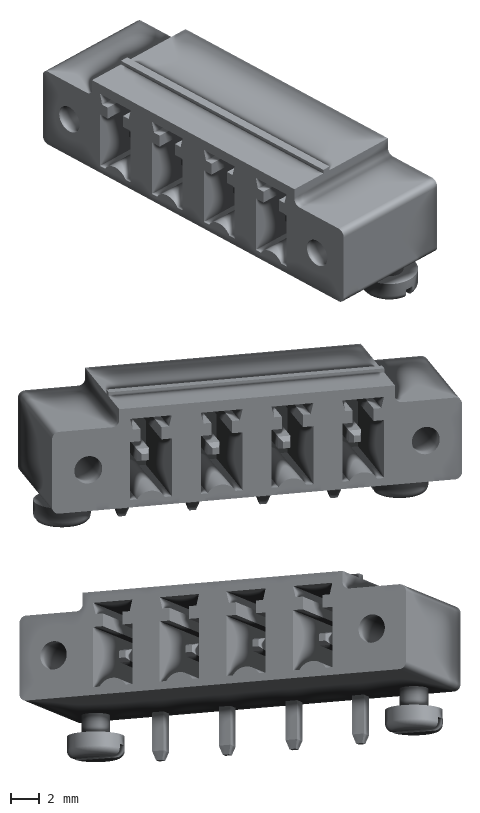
import cadquery as cq


LENGTH = 29.44
DEPTH = 9.2
FLANGE_HEIGHT = 6.0
BODY_HEIGHT = 7.28
BODY_LENGTH = 19.8
EDGE_RADIUS = 0.5
FRONT_Y = -DEPTH / 2
BACK_Y = DEPTH / 2

RIB_RISE = 0.3
RIB_TOP = BODY_HEIGHT + RIB_RISE
RIB_WIDTH = 0.62
RIB_SETBACK = 2.84

CONTACT_COUNT = 4
PITCH = 5.08
CONTACT_XS = [(i - (CONTACT_COUNT - 1) / 2) * PITCH for i in range(CONTACT_COUNT)]
PIN_SIZE = 0.88
PIN_TIP_SIZE = 0.48
PIN_TAPER = 0.62
PIN_BOTTOM = -3.37
AXIS_HEIGHT = 3.03
SOLDER_PIN_Y = BACK_Y - 1.14
CONTACT_SETBACK = 1.6

POCKET_DEPTH = 7.0
POCKET_HALF_WIDTH = 1.5
POCKET_FLOOR = 0.55
ARCH_HALF_WIDTH = 1.0
ARCH_TOP = 1.1
SHOULDER_HEIGHT = 4.8
NECK_HALF_WIDTH = 0.75
NECK_TOP = 5.7
DOVETAIL_HALF_WIDTH = 1.3
POCKET_TOP = 6.5

FLANGE_X = 12.12
FLANGE_XS = (-FLANGE_X, FLANGE_X)
HOLE_DIAMETER = 2.0
HOLE_DEPTH = 5.0
SHANK_DIAMETER = 2.0
HEAD_DIAMETER = 4.0
HEAD_TOP = -1.5
HEAD_BOTTOM = -3.0
HEAD_RADIUS = 0.5
SCREW_Y = BACK_Y - 2.1
DRIVE_SLOT_WIDTH = 0.65
DRIVE_SLOT_DEPTH = 0.8

EMBED = 1.0


def front_plane(x=0.0, y=FRONT_Y, z=0.0):
    """Workplane with local x along X, local y along Z and its normal toward -Y."""
    return cq.Workplane("XZ", origin=(x, y, z))


def make_housing():
    flanges = cq.Workplane("XY").box(LENGTH, DEPTH, FLANGE_HEIGHT, centered=(True, True, False))
    flanges = flanges.edges("|Y").fillet(EDGE_RADIUS)
    body = cq.Workplane("XY").box(BODY_LENGTH, DEPTH, BODY_HEIGHT, centered=(True, True, False))
    housing = flanges.union(body)
    for side in (-1, 1):
        corner = cq.selectors.NearestToPointSelector((side * BODY_LENGTH / 2, 0, FLANGE_HEIGHT))
        housing = housing.edges("|Y").edges(corner).fillet(EDGE_RADIUS)
    rib = cq.Workplane("XY").box(BODY_LENGTH, RIB_WIDTH, RIB_TOP, centered=(True, False, False))
    return housing.union(rib.translate((0, FRONT_Y + RIB_SETBACK, 0)))


def make_pocket(x):
    """Pocket with an arched floor, a narrow neck and a dovetail head."""
    return (
        front_plane(x)
        .moveTo(-POCKET_HALF_WIDTH, POCKET_FLOOR)
        .lineTo(-ARCH_HALF_WIDTH, POCKET_FLOOR)
        .threePointArc((0, ARCH_TOP), (ARCH_HALF_WIDTH, POCKET_FLOOR))
        .lineTo(POCKET_HALF_WIDTH, POCKET_FLOOR)
        .lineTo(POCKET_HALF_WIDTH, SHOULDER_HEIGHT)
        .lineTo(NECK_HALF_WIDTH, SHOULDER_HEIGHT)
        .lineTo(NECK_HALF_WIDTH, NECK_TOP)
        .lineTo(DOVETAIL_HALF_WIDTH, NECK_TOP)
        .lineTo(POCKET_HALF_WIDTH, POCKET_TOP)
        .lineTo(-POCKET_HALF_WIDTH, POCKET_TOP)
        .lineTo(-DOVETAIL_HALF_WIDTH, NECK_TOP)
        .lineTo(-NECK_HALF_WIDTH, NECK_TOP)
        .lineTo(-NECK_HALF_WIDTH, SHOULDER_HEIGHT)
        .lineTo(-POCKET_HALF_WIDTH, SHOULDER_HEIGHT)
        .close()
        .extrude(-POCKET_DEPTH)
    )


def make_pin(plane, length):
    """Square pin along the plane normal, ending in a tapered point."""
    shaft = plane.rect(PIN_SIZE, PIN_SIZE).extrude(length - PIN_TAPER)
    tip = (
        plane.workplane(offset=length - PIN_TAPER)
        .rect(PIN_SIZE, PIN_SIZE)
        .workplane(offset=PIN_TAPER)
        .rect(PIN_TIP_SIZE, PIN_TIP_SIZE)
        .loft()
    )
    return shaft.union(tip)


def make_mating_pin(x):
    root_setback = POCKET_DEPTH + EMBED
    plane = front_plane(x, FRONT_Y + root_setback, AXIS_HEIGHT)
    return make_pin(plane, root_setback - CONTACT_SETBACK)


def make_solder_pin(x):
    downward = cq.Plane(origin=(x, SOLDER_PIN_Y, EMBED), xDir=(1, 0, 0), normal=(0, 0, -1))
    plane = cq.Workplane(downward)
    return make_pin(plane, EMBED - PIN_BOTTOM)


def make_screw(x):
    """Slotted cheese-head screw pointing up into the housing."""
    head = (
        cq.Workplane("XY", origin=(x, SCREW_Y, HEAD_BOTTOM))
        .circle(HEAD_DIAMETER / 2)
        .extrude(HEAD_TOP - HEAD_BOTTOM)
        .faces("<Z")
        .edges()
        .fillet(HEAD_RADIUS)
    )
    drive_slot = cq.Workplane("XY", origin=(x, SCREW_Y, HEAD_BOTTOM)).box(
        HEAD_DIAMETER, DRIVE_SLOT_WIDTH, DRIVE_SLOT_DEPTH, centered=(True, True, False)
    )
    shank = (
        cq.Workplane("XY", origin=(x, SCREW_Y, HEAD_TOP))
        .circle(SHANK_DIAMETER / 2)
        .extrude(EMBED - HEAD_TOP)
    )
    return head.cut(drive_slot).union(shank)


def make_mating_hole(x):
    return front_plane(x, FRONT_Y, AXIS_HEIGHT).circle(HOLE_DIAMETER / 2).extrude(-HOLE_DEPTH)


result = make_housing()
for contact_x in CONTACT_XS:
    result = result.cut(make_pocket(contact_x))
    result = result.union(make_mating_pin(contact_x))
    result = result.union(make_solder_pin(contact_x))
for flange_x in FLANGE_XS:
    result = result.cut(make_mating_hole(flange_x))
    result = result.union(make_screw(flange_x))